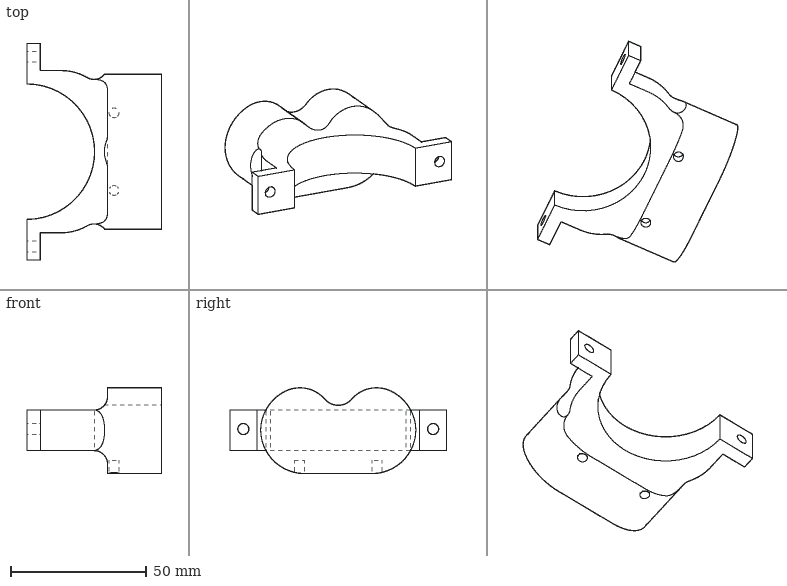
import cadquery as cq
import math


thickness = 15.0
cradle_radius = 25.0
cradle_half_width = 30.0
shoulder_start = 12.7
lug_half_span = 40
lug_thickness = 5.0
hole_diameter = 4
hole_y = 35.0
hole_z = 0.5

block_end = 49.8
block_length = 20
block_front = block_end - block_length
blend_radius = 5.0
neck_half_width = 26.7
neck_start = block_front - blend_radius

body_radius = 16.2
body_half_width = 28.6
body_y = body_half_width - body_radius
body_z = 0.2
lobe_y = 14.2
lobe_z = 3.6
lobe_radius = 12.2
lobe_angle = math.radians(64)
groove_bottom = 9.3

base_hole_diameter = 3.6
base_hole_x = 32.2
base_hole_y = 14.3
base_hole_depth = 4.8

prism_height = 2 * body_half_width


def point_between(start, end, distance):
    """Point at the given distance from start along the line towards end."""
    share = distance / math.dist(start, end)
    return tuple(a + (b - a) * share for a, b in zip(start, end))


def on_circle(center, radius, angle):
    return (center[0] + radius * math.cos(angle), center[1] + radius * math.sin(angle))


def mirrored(point):
    return (-point[0], point[1])


def make_section(start, length):
    """Prism along X: an oval section topped by two lobes with a round groove between."""
    body = (body_y, body_z)
    lobe = (lobe_y, lobe_z)
    flank = on_circle(lobe, lobe_radius - body_radius, lobe_angle)
    rise = groove_bottom - lobe[1]
    groove_radius = (lobe_radius**2 - lobe[0]**2 - rise**2) / (2 * (rise - lobe_radius))
    groove = (0, groove_bottom + groove_radius)

    bottom = (body_y, body_z - body_radius)
    side = (body_half_width, body_z)
    flank_to_lobe = on_circle(lobe, lobe_radius, lobe_angle)
    flank_middle = on_circle(flank, body_radius, lobe_angle / 2)
    lobe_top = (lobe[0], lobe[1] + lobe_radius)
    lobe_to_groove = point_between(lobe, groove, lobe_radius)
    lower_middle = on_circle(body, body_radius, -math.pi / 4)

    return (
        cq.Workplane("YZ", origin=(start, 0, 0))
        .moveTo(*mirrored(bottom))
        .lineTo(*bottom)
        .threePointArc(lower_middle, side)
        .threePointArc(flank_middle, flank_to_lobe)
        .threePointArc(lobe_top, lobe_to_groove)
        .threePointArc((0, groove_bottom), mirrored(lobe_to_groove))
        .threePointArc(mirrored(lobe_top), mirrored(flank_to_lobe))
        .threePointArc(mirrored(flank_middle), mirrored(side))
        .threePointArc(mirrored(lower_middle), mirrored(bottom))
        .close()
        .extrude(length)
    )


def make_half_plan():
    """The +Y half of the cradle and neck outline, as a prism taller than the part."""
    blend = (neck_start, neck_half_width + blend_radius)
    run = blend[0] - shoulder_start
    offset = blend[1] - cradle_half_width
    shoulder_radius = (run**2 + offset**2 - blend_radius**2) / (2 * (blend_radius - offset))
    shoulder = (shoulder_start, cradle_half_width - shoulder_radius)
    shoulder_end = point_between(shoulder, blend, shoulder_radius)
    tangent_angle = math.atan2(blend[1] - shoulder[1], run)
    shoulder_middle = on_circle(shoulder, shoulder_radius, (tangent_angle + math.pi / 2) / 2)
    blend_bottom = (blend[0], neck_half_width)
    blend_middle = on_circle(blend, blend_radius, -math.pi / 4)
    blend_end = (block_front, blend[1])

    blend_entry = point_between(blend, (shoulder_end[0], neck_half_width), blend_radius)

    profile = (
        cq.Workplane("XY")
        .moveTo(0, cradle_radius)
        .lineTo(0, lug_half_span)
        .lineTo(lug_thickness, lug_half_span)
        .lineTo(lug_thickness, cradle_half_width)
        .lineTo(shoulder_start, cradle_half_width)
        .threePointArc(shoulder_middle, shoulder_end)
        .threePointArc(blend_entry, blend_bottom)
        .threePointArc(blend_middle, blend_end)
        .lineTo(block_front, 0)
        .lineTo(cradle_radius, 0)
        .threePointArc(on_circle((0, 0), cradle_radius, math.pi / 4), (0, cradle_radius))
        .close()
    )
    return profile.extrude(prism_height / 2, both=True)


def make_neck_elevation():
    """Neck seen along Y, flaring from the cradle thickness to the block by concave blends."""
    half = thickness / 2
    flared = half + blend_radius
    lower_middle = on_circle((neck_start, -flared), blend_radius, math.pi / 4)
    upper_middle = on_circle((neck_start, flared), blend_radius, -math.pi / 4)
    return (
        cq.Workplane("XZ")
        .moveTo(neck_start, -half)
        .threePointArc(lower_middle, (block_front, -flared))
        .lineTo(block_front, flared)
        .threePointArc(upper_middle, (neck_start, half))
        .close()
        .extrude(lug_half_span, both=True)
    )


half_plan = make_half_plan()
plan = half_plan.union(half_plan.mirror("XZ"))

slab = cq.Workplane("XY").box(
    neck_start, 2 * lug_half_span, thickness, centered=(False, True, True)
)
cradle = plan.intersect(slab)

neck = make_section(neck_start, blend_radius).intersect(make_neck_elevation()).intersect(plan)

block = make_section(block_front, block_length)
lug_holes = (
    cq.Workplane("YZ")
    .pushPoints([(-hole_y, hole_z), (hole_y, hole_z)])
    .circle(hole_diameter / 2)
    .extrude(lug_thickness)
)
base_holes = (
    cq.Workplane("XY", origin=(0, 0, body_z - body_radius))
    .pushPoints([(base_hole_x, -base_hole_y), (base_hole_x, base_hole_y)])
    .circle(base_hole_diameter / 2)
    .extrude(base_hole_depth)
)
result = block.union(neck).union(cradle).clean().cut(lug_holes).cut(base_holes)